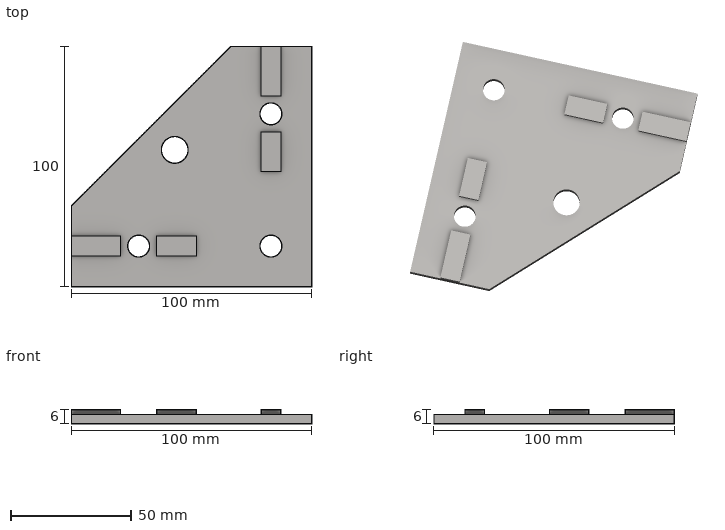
import cadquery as cq

side = 100.0
plate_thickness = 4.0
short_edge = 33.75

line_inset = 17.0
bolt_diameter = 9.0
bolt_spacing = 55.0
center_hole_diameter = 11.0
center_hole_inset = 57.0

rib_width = 8.2
rib_height = 2.0
rib_gap = 15.0
inner_rib_length = 16.5

outer_bolt_inset = line_inset + bolt_spacing
outer_rib_start = outer_bolt_inset + rib_gap / 2
inner_rib_end = outer_bolt_inset - rib_gap / 2
inner_rib_start = inner_rib_end - inner_rib_length


def make_plate():
    outline = [
        (0, 0),
        (side, 0),
        (side, side),
        (side - short_edge, side),
        (0, short_edge),
    ]
    return cq.Workplane("XY").polyline(outline).close().extrude(plate_thickness)


def make_hole_tools(diameter, insets):
    """Cylinders placed by (inset from right edge, inset from bottom edge)."""
    centers = [(side - from_right, from_bottom) for from_right, from_bottom in insets]
    return cq.Workplane("XY").pushPoints(centers).circle(diameter / 2).extrude(plate_thickness)


def make_rib(length_x, length_y, center_x, center_y):
    return (
        cq.Workplane("XY")
        .box(length_x, length_y, plate_thickness + rib_height, centered=(True, True, False))
        .translate((center_x, center_y, 0))
    )


def add_ribs(body):
    """Add the same two ribs along the bottom edge and along the right edge."""
    for start, end in [(inner_rib_start, inner_rib_end), (outer_rib_start, side)]:
        length = end - start
        middle = (start + end) / 2
        body = body.union(make_rib(length, rib_width, side - middle, line_inset))
        body = body.union(make_rib(rib_width, length, side - line_inset, middle))
    return body


bolt_insets = [
    (line_inset, line_inset),
    (outer_bolt_inset, line_inset),
    (line_inset, outer_bolt_inset),
]
center_hole_insets = [(center_hole_inset, center_hole_inset)]

result = add_ribs(make_plate())
result = result.cut(make_hole_tools(bolt_diameter, bolt_insets))
result = result.cut(make_hole_tools(center_hole_diameter, center_hole_insets))